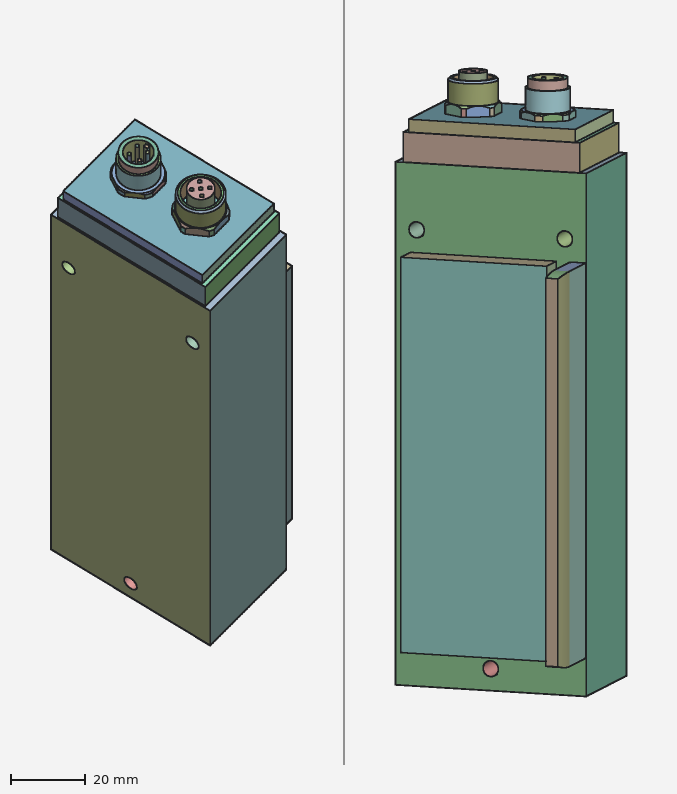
import cadquery as cq
import math


BLOCK_WIDTH = 53.9
BLOCK_DEPTH = 33.2
BLOCK_HEIGHT = 142.0

CAP_LOWER_TOP = 150.1
CAP_LOWER_INSET_X = 2.0
CAP_LOWER_INSET_Y = 0.5
CAP_TOP = 153.6
CAP_UPPER_INSET_X = 3.4
CAP_UPPER_INSET_Y = 1.0

OVERALL_DEPTH = 53.0
FIN_SIDE_INSET = 0.1
FIN_INNER_X = 4.5
FIN_BOTTOM = 10.4
FIN_TOP = 117.7
FIN_CURVE_LENGTH = 6.5
FIN_CURVE_DROP = 1.0
PAD_LEFT = 8.4
PAD_RIGHT = 49.6
PAD_THICKNESS = 8.0

MOUNT_DIAMETER = 4.3
MOUNT_EDGE_DISTANCE = 6.0
MOUNT_UPPER_Z = 123.9

CONNECTOR_Y = 17.0
HEX_ACROSS_FLATS = 14.0
CONTACT_DIAMETER = 1.1
CONTACT_OFFSET = 1.75
CONTACT_SIGNS = [(-1, -1), (-1, 1), (1, -1), (1, 1)]

MALE_X = 16.4
MALE_TOP = 164.4
MALE_HEX_TOP = 155.6
MALE_HEX_CORNER_DIAMETER = 15.0
MALE_HEX_CHAMFER = 0.4
MALE_BODY_DIAMETER = 12.0
MALE_SHOULDER_Z = 161.7
MALE_RIM_DIAMETER = 10.77
MALE_BORE_DIAMETER = 8.3
MALE_PIN_TOP = 164.0
MALE_KEY_WIDTH = 1.3
MALE_KEY_DEPTH = 1.1
MALE_KEY_TOP = 163.4

FEMALE_X = 37.5
FEMALE_TOP = 164.9
FEMALE_HEX_TOP = 156.6
FEMALE_HEX_CORNER_DIAMETER = 15.4
FEMALE_HEX_CHAMFER = 0.7
FEMALE_SHELL_DIAMETER = 13.5
FEMALE_SHELL_TOP = 163.2
FEMALE_SHELL_CHAMFER = 0.6
FEMALE_BORE_DIAMETER = 10.92
FEMALE_INSERT_DIAMETER = 7.6
FEMALE_CONTACT_DEPTH = 5.0


def box(x0, x1, y0, y1, z0, z1):
    """Box between two opposite corners."""
    return cq.Workplane("XY").box(x1 - x0, y1 - y0, z1 - z0, centered=False).translate((x0, y0, z0))


def cylinder(x, y, diameter, z0, z1):
    """Upright cylinder between two heights."""
    return cq.Workplane("XY", origin=(x, y, z0)).circle(diameter / 2).extrude(z1 - z0)


def make_cap_step(inset_x, inset_y, z0, z1):
    return box(inset_x, BLOCK_WIDTH - inset_x, inset_y, BLOCK_DEPTH - inset_y, z0, z1)


def make_fin():
    """Fin just inside the -X side of the block; its free end curves in on the outer side and at both ends."""
    curve_start = OVERALL_DEPTH - FIN_CURVE_LENGTH
    radius = (FIN_CURVE_LENGTH**2 + FIN_CURVE_DROP**2) / (2 * FIN_CURVE_DROP)
    half_angle = math.asin(FIN_CURVE_LENGTH / radius) / 2
    mid_y = curve_start + radius * math.sin(half_angle)
    mid_drop = radius * (1 - math.cos(half_angle))

    plan = (
        cq.Workplane("XY", origin=(0, 0, FIN_BOTTOM))
        .moveTo(FIN_SIDE_INSET, BLOCK_DEPTH)
        .lineTo(FIN_SIDE_INSET, curve_start)
        .threePointArc((FIN_SIDE_INSET + mid_drop, mid_y), (FIN_SIDE_INSET + FIN_CURVE_DROP, OVERALL_DEPTH))
        .lineTo(FIN_INNER_X, OVERALL_DEPTH)
        .lineTo(FIN_INNER_X, BLOCK_DEPTH)
        .close()
        .extrude(FIN_TOP - FIN_BOTTOM)
    )
    side = (
        cq.Workplane("YZ")
        .moveTo(BLOCK_DEPTH, FIN_BOTTOM)
        .lineTo(curve_start, FIN_BOTTOM)
        .threePointArc((mid_y, FIN_BOTTOM + mid_drop), (OVERALL_DEPTH, FIN_BOTTOM + FIN_CURVE_DROP))
        .lineTo(OVERALL_DEPTH, FIN_TOP - FIN_CURVE_DROP)
        .threePointArc((mid_y, FIN_TOP - mid_drop), (curve_start, FIN_TOP))
        .lineTo(BLOCK_DEPTH, FIN_TOP)
        .close()
        .extrude(FIN_INNER_X)
    )
    return plan.intersect(side)


def make_mounting_holes():
    """Two holes near the upper corners and one at the middle of the bottom edge."""
    centres = [
        (MOUNT_EDGE_DISTANCE, MOUNT_UPPER_Z),
        (BLOCK_WIDTH - MOUNT_EDGE_DISTANCE, MOUNT_UPPER_Z),
        (BLOCK_WIDTH / 2, MOUNT_EDGE_DISTANCE),
    ]
    return cq.Workplane("XZ").pushPoints(centres).circle(MOUNT_DIAMETER / 2).extrude(-BLOCK_DEPTH)


def make_housing():
    block = box(0, BLOCK_WIDTH, 0, BLOCK_DEPTH, 0, BLOCK_HEIGHT)
    cap_lower = make_cap_step(CAP_LOWER_INSET_X, CAP_LOWER_INSET_Y, BLOCK_HEIGHT, CAP_LOWER_TOP)
    cap_upper = make_cap_step(CAP_UPPER_INSET_X, CAP_UPPER_INSET_Y, CAP_LOWER_TOP, CAP_TOP)
    pad = box(PAD_LEFT, PAD_RIGHT, BLOCK_DEPTH, BLOCK_DEPTH + PAD_THICKNESS, FIN_BOTTOM, FIN_TOP)
    housing = block.union(cap_lower).union(cap_upper).union(pad).union(make_fin())
    return housing.cut(make_mounting_holes())


def make_hex_base(x, top, corner_diameter, chamfer):
    """Hexagon with flats facing +X and -X, its corners turned round and its top edge chamfered."""
    across_corners = HEX_ACROSS_FLATS / math.cos(math.pi / 6)
    hexagon = (
        cq.Workplane("XY", origin=(x, CONNECTOR_Y, CAP_TOP))
        .transformed(rotate=(0, 0, 90))
        .polygon(6, across_corners)
        .extrude(top - CAP_TOP)
    )
    turned = cylinder(x, CONNECTOR_Y, corner_diameter, CAP_TOP, top).faces(">Z").chamfer(chamfer)
    return hexagon.intersect(turned)


def contact_centres(x):
    return [(x + sx * CONTACT_OFFSET, CONNECTOR_Y + sy * CONTACT_OFFSET) for sx, sy in CONTACT_SIGNS]


def make_male_connector():
    """Threaded tube with four pins and a key inside its bore."""
    base = make_hex_base(MALE_X, MALE_HEX_TOP, MALE_HEX_CORNER_DIAMETER, MALE_HEX_CHAMFER)
    body = cylinder(MALE_X, CONNECTOR_Y, MALE_BODY_DIAMETER, MALE_HEX_TOP, MALE_SHOULDER_Z)
    rim = cylinder(MALE_X, CONNECTOR_Y, MALE_RIM_DIAMETER, MALE_SHOULDER_Z, MALE_TOP)
    bore = cylinder(MALE_X, CONNECTOR_Y, MALE_BORE_DIAMETER, MALE_HEX_TOP, MALE_TOP)
    connector = base.union(body).union(rim).cut(bore)

    bore_edge_y = CONNECTOR_Y + MALE_BORE_DIAMETER / 2
    key = box(
        MALE_X - MALE_KEY_WIDTH / 2,
        MALE_X + MALE_KEY_WIDTH / 2,
        bore_edge_y - MALE_KEY_DEPTH,
        bore_edge_y,
        MALE_HEX_TOP,
        MALE_KEY_TOP,
    )
    connector = connector.union(key)
    for x, y in contact_centres(MALE_X):
        connector = connector.union(cylinder(x, y, CONTACT_DIAMETER, MALE_HEX_TOP, MALE_PIN_TOP))
    return connector


def make_female_connector():
    """Shell around a raised round insert with five contact holes."""
    base = make_hex_base(FEMALE_X, FEMALE_HEX_TOP, FEMALE_HEX_CORNER_DIAMETER, FEMALE_HEX_CHAMFER)
    shell = cylinder(FEMALE_X, CONNECTOR_Y, FEMALE_SHELL_DIAMETER, FEMALE_HEX_TOP, FEMALE_SHELL_TOP)
    shell = shell.faces(">Z").chamfer(FEMALE_SHELL_CHAMFER)
    bore = cylinder(FEMALE_X, CONNECTOR_Y, FEMALE_BORE_DIAMETER, FEMALE_HEX_TOP, FEMALE_SHELL_TOP)
    insert = cylinder(FEMALE_X, CONNECTOR_Y, FEMALE_INSERT_DIAMETER, FEMALE_HEX_TOP, FEMALE_TOP)
    connector = base.union(shell).cut(bore).union(insert)

    hole_bottom = FEMALE_TOP - FEMALE_CONTACT_DEPTH
    for x, y in contact_centres(FEMALE_X) + [(FEMALE_X, CONNECTOR_Y)]:
        connector = connector.cut(cylinder(x, y, CONTACT_DIAMETER, hole_bottom, FEMALE_TOP))
    return connector


housing = make_housing()
male_connector = make_male_connector()
female_connector = make_female_connector()

result = cq.Compound.makeCompound([body.solids().val() for body in (housing, male_connector, female_connector)])